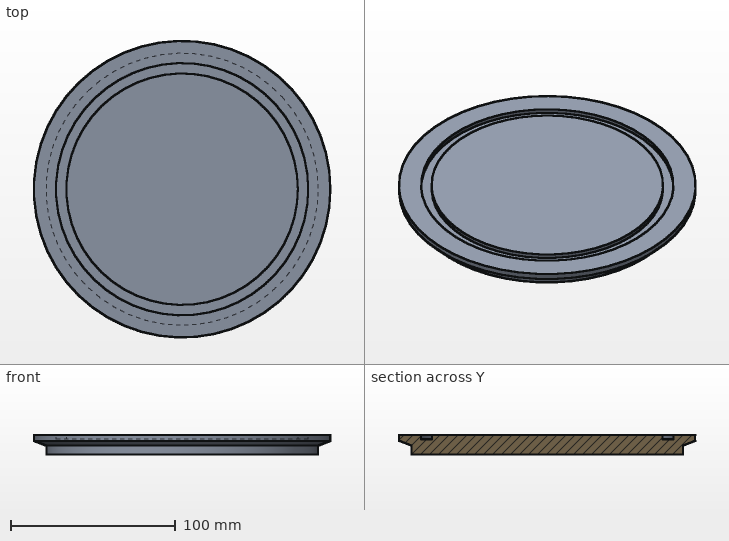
import cadquery as cq

flange_diameter = 180.0
total_height = 12.0

spigot_diameter = 165.1
spigot_height = 5.4
rim_thickness = 3.8

groove_outer_diameter = 153.0
groove_inner_diameter = 140.5
groove_depth = 2.7


def disc_body():
    """Revolve the half section: spigot, conical underside and straight rim."""
    flange_radius = flange_diameter / 2
    spigot_radius = spigot_diameter / 2
    return (
        cq.Workplane("XZ")
        .moveTo(0, 0)
        .lineTo(spigot_radius, 0)
        .lineTo(spigot_radius, spigot_height)
        .lineTo(flange_radius, total_height - rim_thickness)
        .lineTo(flange_radius, total_height)
        .lineTo(0, total_height)
        .close()
        .revolve(360, (0, 0, 0), (0, 1, 0))
    )


def top_groove():
    """Ring of material removed from the top face."""
    return (
        cq.Workplane("XY")
        .workplane(offset=total_height - groove_depth)
        .circle(groove_outer_diameter / 2)
        .circle(groove_inner_diameter / 2)
        .extrude(groove_depth)
    )


result = disc_body().cut(top_groove())